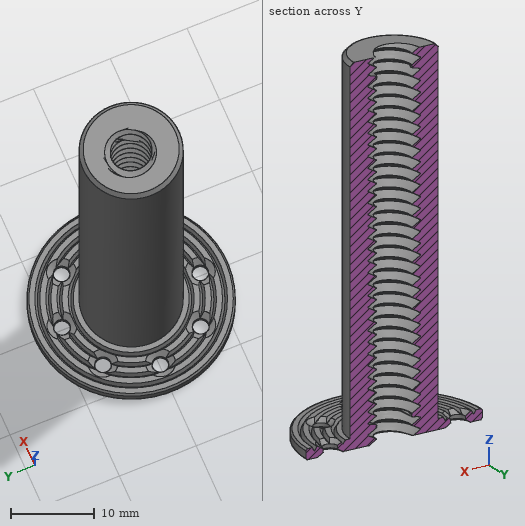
import cadquery as cq
import math

total_height = 50.0
flange_diameter = 25.0
flange_thickness = 1.5
flange_chamfer = 0.25
post_diameter = 12.5
post_chamfer = 0.5

groove_count = 4
first_groove_radius = 7.25
last_groove_radius = 11.25
groove_half_width = 0.3
groove_depth = 0.5

hole_count = 8
hole_circle_diameter = 18.0
hole_diameter = 2.0
countersink_diameter = 3.6
countersink_depth = 0.5

bore_diameter = 5.0
thread_pitch = 1.5
crest_flat = 0.05
root_flat = 0.05
crest_overlap = 0.025
flank_angle = math.radians(30.0)
crest_angle_at_top = 327.0


def make_flange():
    flange = cq.Workplane("XY").circle(flange_diameter / 2).extrude(flange_thickness)
    return flange.edges().chamfer(flange_chamfer)


def make_post():
    post = cq.Workplane("XY").circle(post_diameter / 2).extrude(total_height)
    return post.faces(">Z").edges().chamfer(post_chamfer)


def make_ring_groove(radius):
    profile = cq.Workplane("XZ").polyline([
        (radius - groove_half_width, flange_thickness),
        (radius, flange_thickness - groove_depth),
        (radius + groove_half_width, flange_thickness),
    ]).close()
    return profile.revolve(360, (0, 0, 0), (0, 1, 0))


def make_screw_hole(angle):
    hole_radius = hole_diameter / 2
    countersink_radius = countersink_diameter / 2
    profile = cq.Workplane("XZ").polyline([
        (0, 0),
        (countersink_radius, 0),
        (hole_radius, countersink_depth),
        (hole_radius, flange_thickness - countersink_depth),
        (countersink_radius, flange_thickness),
        (0, flange_thickness),
    ]).close()
    hole = profile.revolve(360, (0, 0, 0), (0, 1, 0))
    return hole.translate((hole_circle_diameter / 2, 0, 0)).rotate((0, 0, 0), (0, 0, 1), angle)


def make_thread_groove():
    """V-shaped helical cutter that runs out past both ends of the bore."""
    bore_radius = bore_diameter / 2
    inner_radius = bore_radius - crest_overlap
    inner_half_width = (thread_pitch - crest_flat) / 2
    root_half_width = root_flat / 2
    depth = (inner_half_width - root_half_width) / math.tan(flank_angle)

    turns = math.ceil(total_height / thread_pitch) + 2
    length = turns * thread_pitch
    bottom = total_height + thread_pitch - length

    corners = [
        (inner_radius, -inner_half_width),
        (inner_radius + depth, -root_half_width),
        (inner_radius + depth, root_half_width),
        (inner_radius, inner_half_width),
    ]
    helices = [
        cq.Wire.makeHelix(thread_pitch, length, radius, cq.Vector(0, 0, height))
        for radius, height in corners
    ]
    sides = [
        cq.Face.makeRuledSurface(helix, helices[(index + 1) % len(helices)])
        for index, helix in enumerate(helices)
    ]
    end_caps = [
        cq.Face.makeFromWires(cq.Wire.makePolygon(
            [cq.Vector(radius, 0, height + end) for radius, height in corners], close=True))
        for end in (0, length)
    ]
    cutter = cq.Solid.makeSolid(cq.Shell.makeShell(sides + end_caps))
    cutter = cutter.rotate(cq.Vector(), cq.Vector(0, 0, 1), crest_angle_at_top - 180)
    return cq.Workplane(obj=cutter.translate(cq.Vector(0, 0, bottom)))


body = make_flange().union(make_post())

groove_spacing = (last_groove_radius - first_groove_radius) / (groove_count - 1)
for index in range(groove_count):
    body = body.cut(make_ring_groove(first_groove_radius + index * groove_spacing))

for index in range(hole_count):
    body = body.cut(make_screw_hole(index * 360 / hole_count))

bore = cq.Workplane("XY").circle(bore_diameter / 2).extrude(total_height)
result = body.cut(make_thread_groove()).cut(bore)